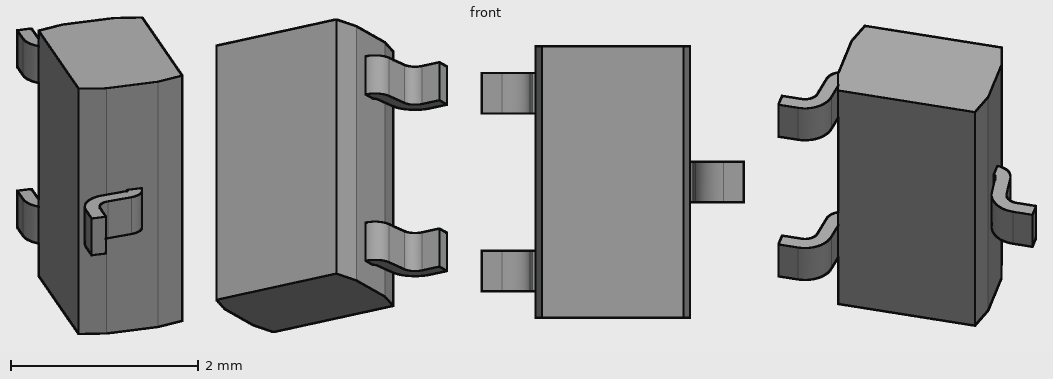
import cadquery as cq
import math

housing_length = 2.9
housing_width = 1.653
housing_end_width = 1.508
housing_depth = 1.155
draft_depth = 0.29
standoff = 0.045

lead_span = 2.8
lead_width = 0.435
lead_thickness = 0.16
lead_height = 0.725
shoulder_radius = 0.188
ankle_radius = 0.142
leg_tilt = math.radians(6.0)
lead_pitch = 1.897

LEFT, RIGHT = -1, 1
lead_positions = [(LEFT, -lead_pitch / 2), (LEFT, lead_pitch / 2), (RIGHT, 0.0)]


def make_housing():
    """Prism with both sides tapering towards the front and back faces."""
    half_width = housing_width / 2
    half_end = housing_end_width / 2
    front = standoff
    back = standoff + housing_depth
    outline = [
        (-half_end, front),
        (half_end, front),
        (half_width, front + draft_depth),
        (half_width, back - draft_depth),
        (half_end, back),
        (-half_end, back),
        (-half_width, back - draft_depth),
        (-half_width, front + draft_depth),
    ]
    return cq.Workplane("XY").polyline(outline).close().extrude(housing_length / 2, both=True)


def polar(center, radius, angle):
    """Point at a radius and angle from a center."""
    return (center[0] + radius * math.cos(angle), center[1] + radius * math.sin(angle))


def make_lead(side, z_center):
    """S-bent strip that starts flush on the housing side and ends in a flat foot."""
    face_x = housing_width / 2
    tip_x = lead_span / 2
    shoulder_inner = shoulder_radius - lead_thickness
    ankle_outer = ankle_radius + lead_thickness

    shoulder_center = (face_x, lead_height - shoulder_radius)
    ankle_y = lead_thickness + ankle_radius
    center_drop = shoulder_center[1] - ankle_y
    center_run = (shoulder_radius + ankle_radius + center_drop * math.sin(leg_tilt)) / math.cos(leg_tilt)
    ankle_center = (face_x + center_run, ankle_y)

    shoulder_end = leg_tilt
    shoulder_middle = (math.pi / 2 + shoulder_end) / 2
    ankle_start = math.pi + leg_tilt
    ankle_end = 3 * math.pi / 2
    ankle_middle = (ankle_start + ankle_end) / 2

    profile = (
        cq.Workplane("XY")
        .moveTo(face_x, lead_height)
        .threePointArc(
            polar(shoulder_center, shoulder_radius, shoulder_middle),
            polar(shoulder_center, shoulder_radius, shoulder_end),
        )
        .lineTo(*polar(ankle_center, ankle_radius, ankle_start))
        .threePointArc(
            polar(ankle_center, ankle_radius, ankle_middle),
            polar(ankle_center, ankle_radius, ankle_end),
        )
        .lineTo(tip_x, lead_thickness)
        .lineTo(tip_x, 0)
        .lineTo(ankle_center[0], 0)
        .threePointArc(
            polar(ankle_center, ankle_outer, ankle_middle),
            polar(ankle_center, ankle_outer, ankle_start),
        )
        .lineTo(*polar(shoulder_center, shoulder_inner, shoulder_end))
        .threePointArc(
            polar(shoulder_center, shoulder_inner, shoulder_middle),
            (face_x, lead_height - lead_thickness),
        )
        .close()
    )
    lead = profile.extrude(lead_width / 2, both=True)
    if side == LEFT:
        lead = lead.mirror("YZ")
    return lead.translate((0, 0, z_center))


housing = make_housing()
leads = [make_lead(side, z_center) for side, z_center in lead_positions]

result = cq.Compound.makeCompound([housing.val(), *[lead.val() for lead in leads]])